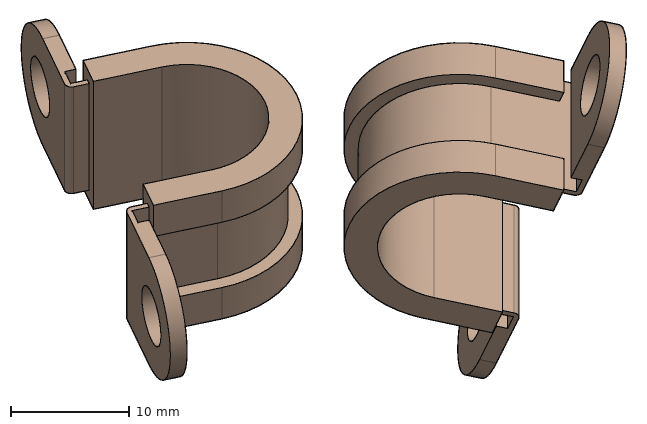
import cadquery as cq

cushion_outer_radius = 9.8
cushion_wall = 2.85
cushion_width = 14.4
cushion_leg_length = 6.1
window_width = 7.35

strap_inner_radius = 8.1
strap_thickness = 0.5
bend_radius = 0.6
strap_width = 12.0

overall_length = 41.6
ear_front_offset = 2.0
ear_thickness = 1.5
pad_inner_x = 10.2
hole_diameter = 5.3
hole_x = 15.5

strap_outer_radius = strap_inner_radius + strap_thickness
cushion_inner_radius = cushion_outer_radius - cushion_wall
leg_end_y = -cushion_leg_length
ear_face_y = leg_end_y - ear_front_offset
ear_end_radius = strap_width / 2
ear_end_center_x = overall_length / 2 - ear_end_radius


def u_band(inner_radius, outer_radius, end_y, width):
    """U-shaped band centred on Z = 0, open toward -Y."""
    return (
        cq.Workplane("XY")
        .workplane(offset=-width / 2)
        .moveTo(-outer_radius, end_y)
        .lineTo(-outer_radius, 0)
        .threePointArc((0, outer_radius), (outer_radius, 0))
        .lineTo(outer_radius, end_y)
        .lineTo(inner_radius, end_y)
        .lineTo(inner_radius, 0)
        .threePointArc((0, inner_radius), (-inner_radius, 0))
        .lineTo(-inner_radius, end_y)
        .close()
        .extrude(width)
    )


def make_cushion():
    """Full-width liner with its outer middle cut away down to the strap."""
    liner = u_band(cushion_inner_radius, cushion_outer_radius, leg_end_y, cushion_width)
    window = u_band(strap_outer_radius, cushion_outer_radius, leg_end_y, window_width)
    return liner.cut(window)


def ear_layer(inner_x, back_y):
    """Round-ended plate on the +X side, from the ear face back to back_y."""
    return (
        cq.Workplane("XZ", origin=(0, ear_face_y, 0))
        .moveTo(inner_x, -ear_end_radius)
        .lineTo(ear_end_center_x, -ear_end_radius)
        .threePointArc((overall_length / 2, 0), (ear_end_center_x, ear_end_radius))
        .lineTo(inner_x, ear_end_radius)
        .close()
        .extrude(ear_face_y - back_y)
    )


def make_ear():
    """Strap foot, thickened pad and screw hole on the +X side."""
    foot = ear_layer(strap_inner_radius, ear_face_y + strap_thickness)
    pad = ear_layer(pad_inner_x, ear_face_y + ear_thickness)
    hole = (
        cq.Workplane("XZ", origin=(hole_x, ear_face_y, 0))
        .circle(hole_diameter / 2)
        .extrude(-ear_thickness)
    )
    return foot.union(pad).cut(hole)


def bend_corner():
    """Material outside the rounded fold between strap leg and ear, +X side."""
    fold_x = strap_inner_radius + bend_radius
    fold_y = ear_face_y + bend_radius
    corner = (
        cq.Workplane("XY")
        .box(bend_radius, bend_radius, strap_width, centered=(False, False, True))
        .translate((strap_inner_radius, ear_face_y, 0))
    )
    round_fold = (
        cq.Workplane("XY", origin=(fold_x, fold_y, -strap_width / 2))
        .circle(bend_radius)
        .extrude(strap_width)
    )
    return corner.cut(round_fold)


def make_strap():
    """Metal strap with both ears and rounded folds."""
    strap = u_band(strap_inner_radius, strap_outer_radius, ear_face_y, strap_width)
    ear = make_ear()
    corner = bend_corner()
    strap = strap.union(ear).union(ear.mirror("YZ"))
    return strap.cut(corner).cut(corner.mirror("YZ"))


result = make_cushion().union(make_strap())